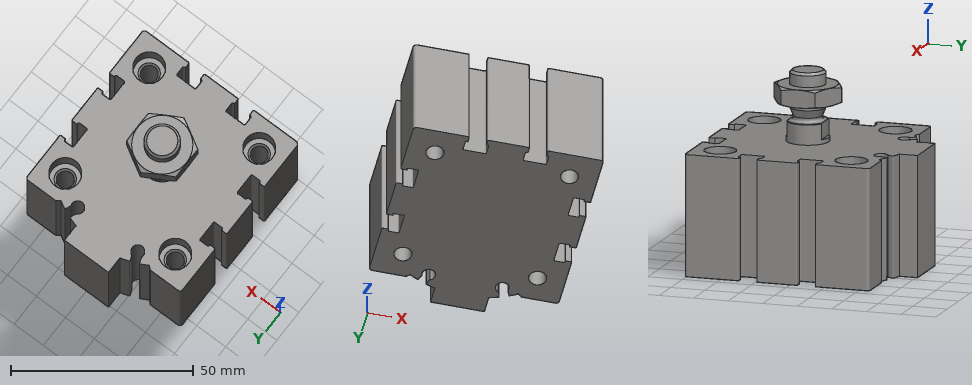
import cadquery as cq
import math

side = 53.5
overall_y = 61.0
body_height = 34.45
overall_height = 54.5
half_side = side / 2
corner_radius = 1.0

tongue_width = 15.2
shoulder_radius = 30.0
notch_outer_x = 16.3
notch_root_x = 15.25

keyhole_angle = 22.8
keyhole_centre_radius = 26.7
keyhole_diameter = 3.8
keyhole_neck_width = 2.7
keyhole_tip_round = 0.3

slot_offset = 8.5
slot_mouth_width = 5.2
slot_inner_width = 6.6
slot_lip = 1.8
slot_depth = 4.95
slot_round = 0.35

hole_offset = 19.0
hole_diameter = 4.95
counterbore_diameter = 9.0
counterbore_depth = 5.8
countersink_diameter = 6.1

rod_diameter = 12.0
rod_shoulder_height = 5.85
rod_edge_chamfer = 0.2
flat_width = 10.0
flat_start = 1.2
thread_diameter = 10.0
thread_chamfer = 0.75
neck_diameter = 8.2
neck_foot_radius = 0.75
neck_top = 7.15
flare_diameter = 8.3
flare_start = 7.3
thread_start = 9.45

nut_across_flats = 17.0
nut_start = 10.9
nut_height = 5.1
nut_face_diameter = 16.8
nut_chamfer_angle = 20.0

rod_length = overall_height - body_height


def on_shoulder(x):
    """Point of the shoulder arc at the given X."""
    return (x, math.sqrt(shoulder_radius**2 - x**2))


def body_outline():
    """Square with the notches, round shoulder and tongue on its +Y side."""
    tongue_x = tongue_width / 2
    tongue_tip_y = overall_y - half_side
    mid_x = (notch_root_x + tongue_x) / 2
    return (
        cq.Workplane("XY")
        .moveTo(-half_side, -half_side)
        .lineTo(half_side, -half_side)
        .lineTo(half_side, half_side)
        .lineTo(notch_outer_x, half_side)
        .lineTo(*on_shoulder(notch_root_x))
        .threePointArc(on_shoulder(mid_x), on_shoulder(tongue_x))
        .lineTo(tongue_x, tongue_tip_y)
        .lineTo(-tongue_x, tongue_tip_y)
        .lineTo(*on_shoulder(-tongue_x))
        .threePointArc(on_shoulder(-mid_x), on_shoulder(-notch_root_x))
        .lineTo(-notch_outer_x, half_side)
        .lineTo(-half_side, half_side)
        .close()
    )


def block(x_size, y_min, y_max):
    """Full-height block centred on X = 0 between two Y values."""
    return (
        cq.Workplane("XY")
        .center(0, (y_min + y_max) / 2)
        .rect(x_size, y_max - y_min)
        .extrude(body_height)
    )


def keyhole(angle):
    """Round-bottomed radial groove, turned about Z by the angle in degrees."""
    bore = (
        cq.Workplane("XY")
        .center(0, keyhole_centre_radius)
        .circle(keyhole_diameter / 2)
        .extrude(body_height)
    )
    neck = block(keyhole_neck_width, keyhole_centre_radius, overall_y)
    return bore.union(neck).rotate((0, 0, 0), (0, 0, 1), angle)


def round_upright_edge(solid, x, y, radius):
    """Fillet the vertical edge nearest to the given X and Y."""
    nearest = cq.selectors.NearestToPointSelector((x, y, body_height / 2))
    return solid.edges("|Z").edges(nearest).fillet(radius)


def round_keyhole_tips(housing):
    """Round the shoulder corners on the tongue side of both keyhole necks."""
    half_neck = keyhole_neck_width / 2
    tip_angle = math.radians(keyhole_angle) - math.asin(half_neck / shoulder_radius)
    tip_x, tip_y = on_shoulder(shoulder_radius * math.sin(tip_angle))
    for x in (-tip_x, tip_x):
        housing = round_upright_edge(housing, x, tip_y, keyhole_tip_round)
    return housing


def t_slot(offset, angle):
    """T-slot for the -Y face at the X offset, turned about Z by the angle; rounded at mouth and chamber."""
    half_mouth = slot_mouth_width / 2
    face = -half_side
    floor = face + slot_depth
    mouth = (
        cq.Workplane("XY")
        .moveTo(-half_mouth - slot_round, face)
        .radiusArc((-half_mouth, face + slot_round), -slot_round)
        .lineTo(-half_mouth, floor)
        .lineTo(half_mouth, floor)
        .lineTo(half_mouth, face + slot_round)
        .radiusArc((half_mouth + slot_round, face), -slot_round)
        .close()
        .extrude(body_height)
    )
    chamber = block(slot_inner_width, face + slot_lip, floor).edges("|Z").fillet(slot_round)
    slot = mouth.union(chamber)
    return slot.translate((offset, 0, 0)).rotate((0, 0, 0), (0, 0, 1), angle)


def mounting_hole(x, y):
    """Through hole with a deep counterbore and a 45 degree countersink in the counterbore floor."""
    seat = body_height - counterbore_depth
    countersink_depth = (countersink_diameter - hole_diameter) / 2
    profile = [
        (0, 0),
        (hole_diameter / 2, 0),
        (hole_diameter / 2, seat - countersink_depth),
        (countersink_diameter / 2, seat),
        (counterbore_diameter / 2, seat),
        (counterbore_diameter / 2, body_height),
        (0, body_height),
    ]
    cutter = cq.Workplane("XZ").polyline(profile).close().revolve(360, (0, 0, 0), (0, 1, 0))
    return cutter.translate((x, y, 0))


def make_housing():
    housing = body_outline().extrude(body_height)
    for x_sign in (-1, 1):
        for y_sign in (-1, 1):
            housing = round_upright_edge(housing, x_sign * half_side, y_sign * half_side, corner_radius)
            housing = housing.cut(mounting_hole(x_sign * hole_offset, y_sign * hole_offset))
    for angle in (-keyhole_angle, keyhole_angle):
        housing = housing.cut(keyhole(angle))
    housing = round_keyhole_tips(housing)
    for angle in (-90, 0, 90):
        for offset in (-slot_offset, slot_offset):
            housing = housing.cut(t_slot(offset, angle))
    return housing


def make_rod():
    """Stepped rod standing on the body top, with a conical neck and two wrench flats."""
    rod_radius = rod_diameter / 2
    thread_radius = thread_diameter / 2
    neck_radius = neck_diameter / 2
    profile = (
        cq.Workplane("XZ")
        .moveTo(0, 0)
        .lineTo(rod_radius, 0)
        .lineTo(rod_radius, rod_shoulder_height - rod_edge_chamfer)
        .lineTo(rod_radius - rod_edge_chamfer, rod_shoulder_height)
        .lineTo(neck_radius + neck_foot_radius, rod_shoulder_height)
        .radiusArc((neck_radius, rod_shoulder_height + neck_foot_radius), neck_foot_radius)
        .lineTo(neck_radius, neck_top)
        .lineTo(flare_diameter / 2, flare_start)
        .lineTo(thread_radius, thread_start)
        .lineTo(thread_radius, rod_length - thread_chamfer)
        .lineTo(thread_radius - thread_chamfer, rod_length)
        .lineTo(0, rod_length)
        .close()
    )
    rod = profile.revolve(360, (0, 0, 0), (0, 1, 0))
    flat_height = rod_shoulder_height - flat_start
    frame_size = 2 * rod_diameter
    waste = (
        cq.Workplane("XY")
        .workplane(offset=flat_start)
        .rect(frame_size, frame_size)
        .rect(frame_size, flat_width)
        .extrude(flat_height)
    )
    return rod.cut(waste).translate((0, 0, body_height))


def make_nut():
    """Hexagon nut with corners along Y, chamfered on both faces."""
    point_radius = nut_across_flats / math.sqrt(3)
    face_radius = nut_face_diameter / 2
    drop = (point_radius - face_radius) * math.tan(math.radians(nut_chamfer_angle))
    hexagon = (
        cq.Workplane("XY")
        .polygon(6, 2 * point_radius)
        .circle(thread_diameter / 2)
        .extrude(nut_height)
        .rotate((0, 0, 0), (0, 0, 1), 90)
    )
    chamfer_profile = [
        (0, 0),
        (face_radius, 0),
        (point_radius, drop),
        (point_radius, nut_height - drop),
        (face_radius, nut_height),
        (0, nut_height),
    ]
    envelope = cq.Workplane("XZ").polyline(chamfer_profile).close().revolve(360, (0, 0, 0), (0, 1, 0))
    return hexagon.intersect(envelope).translate((0, 0, body_height + nut_start))


housing = make_housing()
rod = make_rod()
nut = make_nut()

result = cq.Compound.makeCompound([housing.val(), rod.val(), nut.val()])